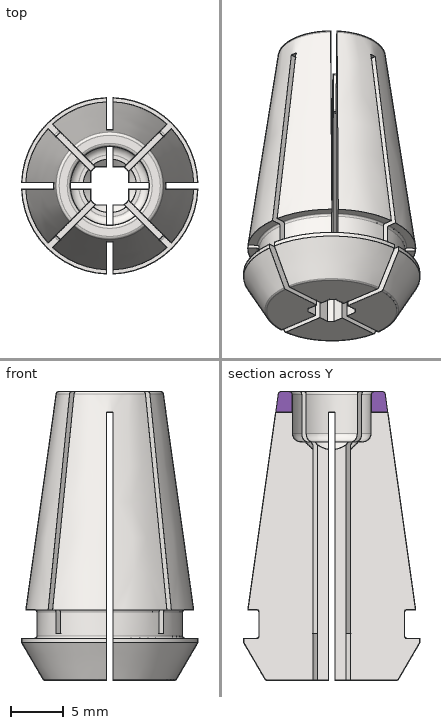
import cadquery as cq
import math

length = 27.5
slit_width = 0.6

flange_radius = 8.4
head_bottom_radius = 6.3
head_cone_height = 3.6
flange_top = 4.0
head_edge_fillet = 0.2

groove_radius = 6.95
groove_top = 6.7
groove_fillet = 0.2

taper_base_radius = 8.0
taper_half_angle = 8.0
taper_height = length - groove_top
taper_top_radius = taper_base_radius - taper_height * math.tan(math.radians(taper_half_angle))
nose_fillet = 0.3

relief_radius = 3.75
relief_depth = 4.8
relief_floor = length - relief_depth
relief_mouth_fillet = 0.3
relief_floor_fillet = 0.8

square_side = 3.6
shank_diameter = 4.5
lead_in_radius = 2.55
lead_in_half_angle = 45.0
lead_in_depth = (lead_in_radius - square_side / 2) / math.tan(math.radians(lead_in_half_angle))

lower_slit_top = 25.5
upper_slit_bottom = 4.45


def revolve_profile(points):
    """Revolve a closed (radius, height) outline about the Z axis."""
    return cq.Workplane("XZ").polyline(points).close().revolve(360, (0, 0, 0), (0, 1, 0))


def circle_edge(radius, height):
    """Selector for the circular edge that lies at this height, no wider than this radius."""
    margin = 0.01
    return cq.selectors.BoxSelector(
        (-radius - margin, -radius - margin, height - margin),
        (radius + margin, radius + margin, height + margin),
        boundingbox=True,
    )


def collet_body():
    """Solid of revolution: head, groove and taper."""
    body = revolve_profile([
        (0, 0),
        (head_bottom_radius, 0),
        (flange_radius, head_cone_height),
        (flange_radius, flange_top),
        (groove_radius, flange_top),
        (groove_radius, groove_top),
        (taper_base_radius, groove_top),
        (taper_top_radius, length),
        (0, length),
    ])
    body = body.edges(circle_edge(head_bottom_radius, 0)).fillet(head_edge_fillet)
    body = body.edges(circle_edge(groove_radius, flange_top)).fillet(groove_fillet)
    body = body.edges(circle_edge(groove_radius, groove_top)).fillet(groove_fillet)
    return body.edges(circle_edge(taper_top_radius, length)).fillet(nose_fillet)


def cut_relief_bore(body):
    """Round-bottomed bore with a rounded mouth."""
    cutter = cq.Workplane("XY", origin=(0, 0, relief_floor)).circle(relief_radius).extrude(relief_depth)
    cutter = cutter.faces("<Z").edges().fillet(relief_floor_fillet)
    body = body.cut(cutter)
    return body.edges(circle_edge(relief_radius, length)).fillet(relief_mouth_fillet)


def cut_square_hole(body):
    """Square through hole with rounded corners and a conical lead-in."""
    square = cq.Workplane("XY").rect(square_side, square_side).extrude(relief_floor)
    shank = cq.Workplane("XY").circle(shank_diameter / 2).extrude(relief_floor)
    lead_in = revolve_profile([
        (0, relief_floor),
        (lead_in_radius, relief_floor),
        (square_side / 2, relief_floor - lead_in_depth),
        (0, relief_floor - lead_in_depth),
    ])
    return body.cut(square.intersect(shank)).cut(lead_in)


def crossed_slits(bottom, top, angle):
    """Two perpendicular slits through the axis, the first turned by angle from X."""
    span = 2 * flange_radius + slit_width
    slit = cq.Workplane("XY", origin=(0, 0, bottom)).box(
        span, slit_width, top - bottom, centered=(True, True, False)
    )
    slit = slit.rotate((0, 0, 0), (0, 0, 1), angle)
    return slit.union(slit.rotate((0, 0, 0), (0, 0, 1), 90))


result = collet_body()
result = cut_relief_bore(result)
result = cut_square_hole(result)
result = result.cut(crossed_slits(0, lower_slit_top, 0))
result = result.cut(crossed_slits(upper_slit_bottom, length, 45))